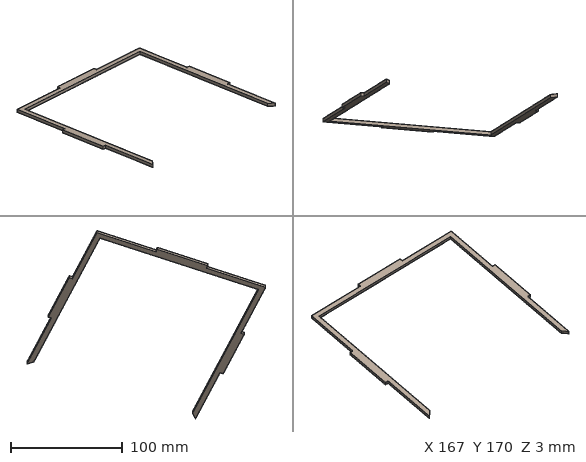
import cadquery as cq

overall_width = 170.0
thickness = 3.0
tab_depth = 3.0
bar_width = 5.0
tab_length = 49.1

frame_side = overall_width - 2 * tab_depth
half_side = frame_side / 2
half_inner = half_side - bar_width


def make_frame():
    """Three-sided frame whose free arm ends are mitred at 45 degrees."""
    outline = [
        (half_side, half_side),
        (-half_side, half_side),
        (-half_side, -half_side),
        (half_side, -half_side),
        (half_inner, -half_inner),
        (-half_inner, -half_inner),
        (-half_inner, half_inner),
        (half_inner, half_inner),
    ]
    return cq.Workplane("XY").polyline(outline).close().extrude(thickness)


def make_tab(angle):
    """Tab centred on one side, reaching from the bar's inner edge to past its outer edge."""
    tab_reach = bar_width + tab_depth
    return (
        cq.Workplane("XY")
        .center(half_inner + tab_reach / 2, 0)
        .rect(tab_reach, tab_length)
        .extrude(thickness)
        .rotate((0, 0, 0), (0, 0, 1), angle)
    )


result = make_frame()
for side_angle in (90, 180, 270):
    result = result.union(make_tab(side_angle))
result = result.clean()